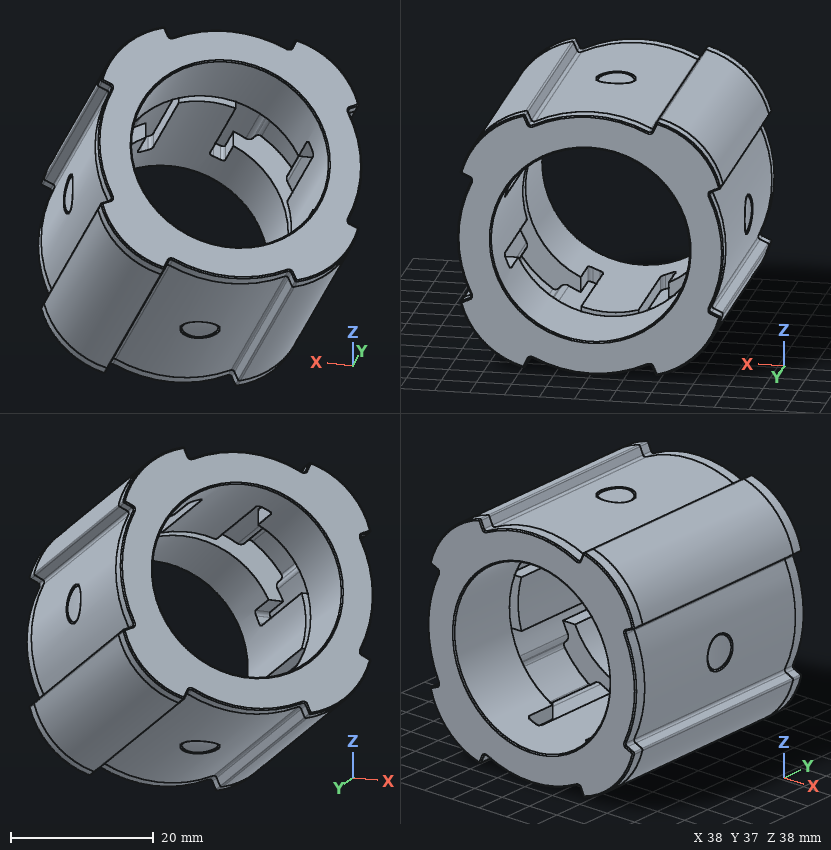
import cadquery as cq
import math

length = 37.0
body_radius = 19.0
bore_radius = 14.2
end_chamfer = 0.2

land_count = 4
land_pitch = 360 / land_count
land_crown = 21.65
land_edge_half_width = 6.5
land_edge_height = 19.85
land_foot_half_width = 5.8
land_foot_height = 18.0
land_edge_fillet = 0.25
land_foot_fillet = 0.4

socket_radius = 16.2
key_radius = 17.9
key_half_width = 3.6
key_crest_fillet = 0.65
key_root_fillet = 0.9

flange_thickness = 2.0
tube_end = 12.2
arm_end = 22.9
arm_width = 8.2
slot_start = 6.6
slot_width = 2.2
slot_corner_radius = 0.6

hole_diameter = 5.6
button_clearance = 0.25
button_radius = hole_diameter / 2 - button_clearance
button_middle_height = 18.65
grip_radius = 14.0


def extrude_between(start, end, sketch):
    """Extrude a sketch in the XZ plane between two lengthwise positions."""
    plane = cq.Workplane("XZ", origin=(0, start - length / 2, 0))
    return sketch(plane).extrude(start - end)


def disc(radius, start, end):
    return extrude_between(start, end, lambda plane: plane.circle(radius))


def add_at_lands(solid, ridge):
    """Add a ridge, modelled at +Z, at the middle of each land."""
    for i in range(land_count):
        angle = (i + 0.5) * land_pitch
        solid = solid.union(ridge.rotate((0, 0, 0), (0, 1, 0), angle))
    return solid


def fillet_ridges(solid, edge_distance, fillet_radius):
    """Round the lengthwise edges that lie at a given distance from the axis."""
    tolerance = 0.01
    edges = solid.edges("|Y").filter(
        lambda edge: abs(math.hypot(edge.Center().x, edge.Center().z) - edge_distance) < tolerance
    )
    return edges.fillet(fillet_radius)


def outer_shape(start, end):
    """Round body with four lands whose sides flare outwards."""

    def land_outline(plane):
        return (
            plane.moveTo(-land_foot_half_width, land_foot_height)
            .lineTo(-land_edge_half_width, land_edge_height)
            .threePointArc((0, land_crown), (land_edge_half_width, land_edge_height))
            .lineTo(land_foot_half_width, land_foot_height)
            .close()
        )

    shape = add_at_lands(disc(body_radius, start, end), extrude_between(start, end, land_outline))
    shape = fillet_ridges(shape, math.hypot(land_edge_half_width, land_edge_height), land_edge_fillet)
    return fillet_ridges(shape, body_radius, land_foot_fillet)


def socket_shape(start, end):
    """Cylinder with four rounded keys that fits inside the housing."""

    def key_outline(plane):
        return plane.center(0, key_radius / 2).rect(2 * key_half_width, key_radius)

    key = extrude_between(start, end, key_outline).intersect(disc(key_radius, start, end))
    shape = add_at_lands(disc(socket_radius, start, end), key)
    shape = fillet_ridges(shape, key_radius, key_crest_fillet)
    return fillet_ridges(shape, socket_radius, key_root_fillet)


def make_housing():
    """Outer shell with a keyed socket and four button holes at mid length."""
    start = flange_thickness
    end = length - flange_thickness
    shell = outer_shape(start, end).cut(socket_shape(start, end))
    across = 2 * body_radius
    vertical_holes = cq.Workplane("XY").circle(hole_diameter / 2).extrude(across, both=True)
    cross_holes = cq.Workplane("YZ").circle(hole_diameter / 2).extrude(across, both=True)
    return shell.cut(vertical_holes).cut(cross_holes)


def make_flange():
    flange = outer_shape(0, flange_thickness).cut(disc(bore_radius, 0, flange_thickness))
    return flange.faces("<Y").edges().chamfer(end_chamfer)


def make_tube():
    """Keyed tube with slots that free the sides of the snap arms."""
    tube = socket_shape(flange_thickness, tube_end)
    slot_length = tube_end - slot_start
    slot_middle = (slot_start + tube_end - length) / 2
    slot_offset = (arm_width + slot_width) / 2
    slots = (
        cq.Workplane("XY", origin=(0, slot_middle, 0))
        .pushPoints([(-slot_offset, 0), (slot_offset, 0)])
        .rect(slot_width, slot_length)
        .extrude(body_radius, both=True)
        .edges("|Z and <Y")
        .fillet(slot_corner_radius)
    )
    return tube.cut(slots)


def make_arms():
    """Two curved tongues at +Z and -Z, continuing the tube wall."""
    strip = extrude_between(slot_start, arm_end, lambda plane: plane.rect(arm_width, 2 * body_radius))
    return disc(socket_radius, slot_start, arm_end).intersect(strip)


def make_buttons():
    """Buttons at mid length, one on each arm, hollowed lengthwise like a finger grip."""
    grip = (
        cq.Workplane("YZ", origin=(0, 0, button_middle_height + grip_radius))
        .circle(grip_radius)
        .extrude(body_radius, both=True)
    )
    button = (
        cq.Workplane("XY", origin=(0, 0, bore_radius))
        .circle(button_radius)
        .extrude(body_radius - bore_radius)
        .cut(grip)
    )
    return button.union(button.mirror("XY"))


def make_liner():
    """Liner entering from the -Y end, with its arms at +Z and -Z."""
    liner = make_flange().union(make_tube()).union(make_arms())
    return liner.union(make_buttons()).cut(disc(bore_radius, 0, length))


housing = make_housing()

liner = make_liner()
opposite_liner = liner.rotate((0, 0, 0), (1, 0, 1), 180)

bodies = [housing, liner, opposite_liner]
result = cq.Compound.makeCompound([body.solids().val() for body in bodies])